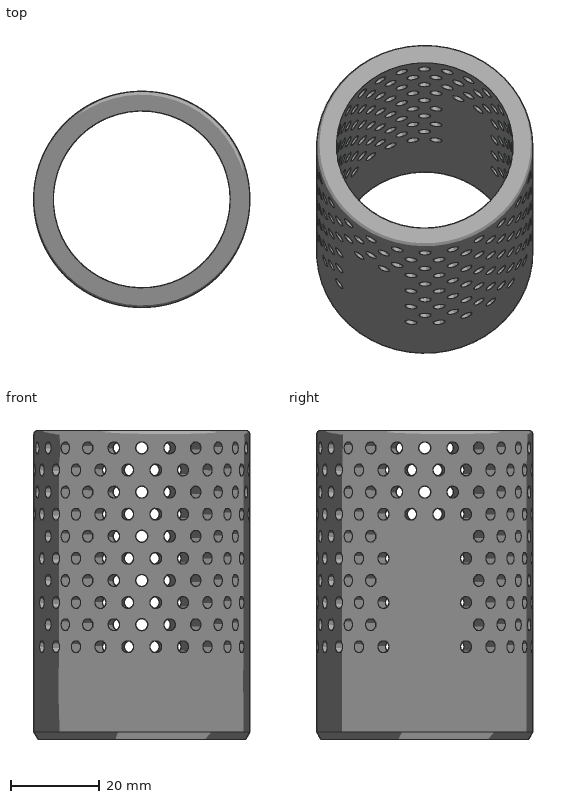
import cadquery as cq
import math

height = 70.0
outer_radius = 24.5
bore_diameter = 40.0
bore_radius = bore_diameter / 2
top_fillet = 1.0
bottom_chamfer_width = 1.0
bottom_chamfer_angle = 30.0
bottom_chamfer_height = bottom_chamfer_width / math.tan(math.radians(bottom_chamfer_angle))

hole_diameter = 2.65
holes_per_row = 24
hole_step = 360.0 / holes_per_row
row_count = 10
full_row_count = 4
top_row_depth = 4.0
row_span = 45.0
row_pitch = row_span / (row_count - 1)

patch_half_angle = 22.0


def make_sleeve():
    """Plain tube with a rounded top rim and a steep lead-in chamfer at the bottom."""
    chamfer_radius = outer_radius - bottom_chamfer_width
    profile = (
        cq.Workplane("XZ")
        .moveTo(bore_radius, 0)
        .lineTo(chamfer_radius, 0)
        .lineTo(outer_radius, bottom_chamfer_height)
        .lineTo(outer_radius, height - top_fillet)
        .radiusArc((outer_radius - top_fillet, height), -top_fillet)
        .lineTo(bore_radius, height)
        .close()
    )
    return profile.revolve(360, (0, 0, 0), (0, 1, 0))


def in_plain_patch(angle):
    """True when the angle lies close to the X axis, on either side."""
    return abs(math.cos(math.radians(angle))) > math.cos(math.radians(patch_half_angle))


def row_angles(row):
    """Angles of the holes in one row, counted from the top row."""
    stagger = hole_step / 2 if row % 2 else 0.0
    angles = [stagger + i * hole_step for i in range(holes_per_row)]
    if row < full_row_count:
        return angles
    return [angle for angle in angles if not in_plain_patch(angle)]


def hole_cutter(angle, z):
    """Radial cylinder that starts inside the bore and passes out through one side of the wall."""
    direction = cq.Vector(math.cos(math.radians(angle)), math.sin(math.radians(angle)), 0)
    start_radius = bore_radius / 2
    start = direction * start_radius + cq.Vector(0, 0, z)
    return cq.Solid.makeCylinder(hole_diameter / 2, outer_radius, start, direction)


cutters = []
for row in range(row_count):
    row_z = height - top_row_depth - row * row_pitch
    for hole_angle in row_angles(row):
        cutters.append(hole_cutter(hole_angle, row_z))

result = make_sleeve().cut(cq.Compound.makeCompound(cutters))